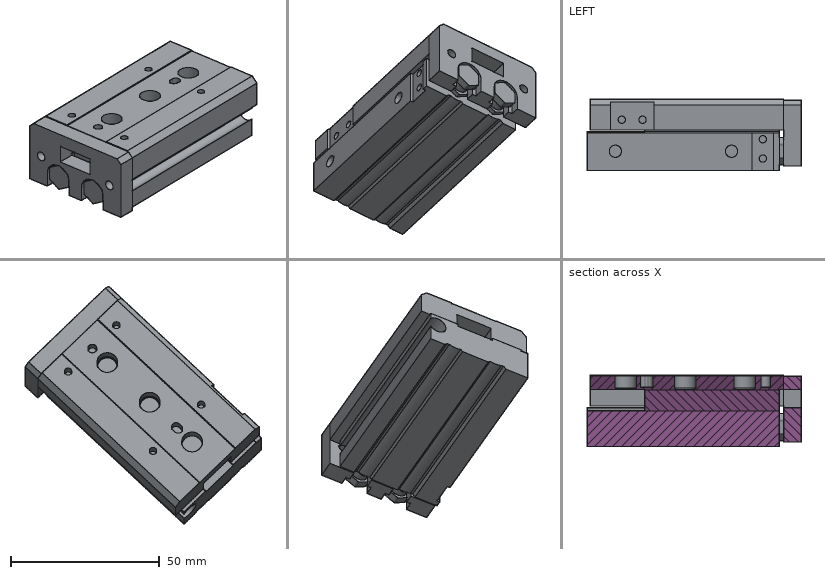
import cadquery as cq
import math

WIDTH = 40.0
LENGTH = 72.0
HEIGHT = 24.0
LEFT = -WIDTH / 2
FRONT = -LENGTH / 2
BACK = LENGTH / 2

PLATE_THICKNESS = 6.0
PLATE_BOTTOM = 1.45
PLATE_TOP = 23.6
PLATE_HOLE_DIAMETER = 3.25
PLATE_HOLE_X = 15.0
PLATE_HOLE_Z = 12.0
PLATE_BACK = FRONT + PLATE_THICKNESS

BASE_WIDTH = 37.0
BASE_GAP = 1.45
BASE_TOP = 13.0
BASE_FRONT = PLATE_BACK + BASE_GAP
BASE_RIGHT = LEFT + BASE_WIDTH
EDGE_STEP_WIDTH = 2.45
EDGE_STEP_DEPTH = 0.4
RAIL_SEAT_DEPTH = 1.0
RAIL_SEAT_Z = BASE_TOP - RAIL_SEAT_DEPTH
RELIEF_WIDTH = 6.8
RELIEF_DEPTH = 0.9
RELIEF_X = 8.3
BARREL_RADIUS = 6.05
SIDE_CHANNEL_DIAMETER = 6.5
SIDE_CHANNEL_X = 14.5
SIDE_CHANNEL_Z = 8.4
SIDE_HOLE_DIAMETER = 4.1
SIDE_HOLE_DEPTH = 8.0
SIDE_HOLE_YS = (-12.5, 26.5)

PAD_DEPTH = 1.0
PAD_HOLE_DIAMETER = 2.45
PAD_HOLE_DEPTH = 4.0
BASE_PAD_FRONT = -26.65
BASE_PAD_LENGTH = 7.2
BASE_PAD_HOLE_Y = -23.05
BASE_PAD_HOLE_ZS = (4.0, 10.5)
TABLE_PAD_FRONT = 13.5
TABLE_PAD_LENGTH = 14.55
TABLE_PAD_TOP = 23.05
TABLE_PAD_HOLE_YS = (17.35, 24.3)
TABLE_PAD_HOLE_Z = 17.1

TABLE_BACK_GAP = 1.0
TABLE_BOTTOM = 13.5
TABLE_CHAMFER = 2.0
TABLE_BACK = BACK - TABLE_BACK_GAP
TABLE_LENGTH = TABLE_BACK - PLATE_BACK
TOP_GROOVE_WIDTH = 17.3
TOP_GROOVE_DEPTH = 0.2
ACCESS_HOLE_DIAMETER = 7.0
ACCESS_HOLE_DEPTH = 4.3
ACCESS_BORE_DIAMETER = 6.5
ACCESS_HOLE_PITCH = 20.0
ACCESS_HOLE_MIDDLE_Y = 3.0
MOUNT_HOLE_DIAMETER = 2.45
MOUNT_HOLE_DEPTH = 4.0
MOUNT_HOLE_X = 11.5
MOUNT_HOLE_YS = (-24.05, 16.0)
DOWEL_DIAMETER = 3.0
DOWEL_SLOT_LENGTH = 4.0
DOWEL_DEPTH = 4.0

RAIL_WIDTH = 13.1
RAIL_TOP = 19.1
RAIL_BACK = 16.6

JOINT_X = 7.5
JOINT_Z = 6.5
HEX_ACROSS_FLATS = 8.1
HEX_CORNER_RADIUS = 0.5
HEAD_RECESS = 0.4
HEAD_LENGTH = 2.5
HEAD_SLOT_WIDTH = 9.6
NECK_SLOT_WIDTH = 6.7
NECK_DIAMETER = 6.5
HEAD_FRONT = FRONT + HEAD_RECESS
HEAD_BACK = HEAD_FRONT + HEAD_LENGTH


def block(x_min, x_max, y_min, y_max, z_min, z_max):
    """Axis-aligned box between the given limits."""
    size = (x_max - x_min, y_max - y_min, z_max - z_min)
    return cq.Workplane("XY").box(*size, centered=False).translate((x_min, y_min, z_min))


def along_y(y):
    """XZ workplane at the given Y; its normal is -Y, so negative extrusions run toward +Y."""
    return cq.Workplane(cq.Plane(origin=(0, y, 0), xDir=(1, 0, 0), normal=(0, -1, 0)))


def cylinder_y(x, z, diameter, y_min, y_max):
    """Round bar or hole running along Y."""
    return along_y(y_min).center(x, z).circle(diameter / 2).extrude(y_min - y_max)


def left_holes(diameter, depth, start_x, points):
    """Round holes bored toward +X at the given (Y, Z) points."""
    return cq.Workplane("YZ", origin=(start_x, 0, 0)).pushPoints(points).circle(diameter / 2).extrude(depth)


def chamfered_block(y_min, y_max, z_min, z_max):
    """Full-width block whose top corners follow the table's 45-degree shoulder planes."""
    shoulder_z = HEIGHT - TABLE_CHAMFER
    top_half_width = WIDTH / 2 - (z_max - shoulder_z)
    outline = [
        (LEFT, z_min),
        (-LEFT, z_min),
        (-LEFT, shoulder_z),
        (top_half_width, z_max),
        (-top_half_width, z_max),
        (LEFT, shoulder_z),
    ]
    return along_y(y_min).polyline(outline).close().extrude(y_min - y_max)


def u_slot(x, width, y_min, y_max):
    """Slot open at the bottom of the end plate, rounded about the joint axis."""
    round_top = cylinder_y(x, JOINT_Z, width, y_min, y_max)
    return round_top.union(block(x - width / 2, x + width / 2, y_min, y_max, 0, JOINT_Z))


def end_plate():
    plate = chamfered_block(FRONT, PLATE_BACK, PLATE_BOTTOM, PLATE_TOP)
    window = block(-RAIL_WIDTH / 2, RAIL_WIDTH / 2, FRONT, PLATE_BACK, BASE_TOP, RAIL_TOP)
    plate = plate.cut(window)
    for side in (-1, 1):
        plate = plate.cut(u_slot(side * JOINT_X, HEAD_SLOT_WIDTH, FRONT, HEAD_BACK))
        plate = plate.cut(u_slot(side * JOINT_X, NECK_SLOT_WIDTH, HEAD_BACK, PLATE_BACK))
        hole = cylinder_y(side * PLATE_HOLE_X, PLATE_HOLE_Z, PLATE_HOLE_DIAMETER, FRONT, PLATE_BACK)
        plate = plate.cut(hole)
    return plate


def underside_relief(side):
    """Trapezoidal groove along the base underside, interrupted by the round cylinder barrel."""
    half_bottom = RELIEF_WIDTH / 2
    half_top = half_bottom - RELIEF_DEPTH
    outline = [
        (side * RELIEF_X - half_bottom, 0),
        (side * RELIEF_X + half_bottom, 0),
        (side * RELIEF_X + half_top, RELIEF_DEPTH),
        (side * RELIEF_X - half_top, RELIEF_DEPTH),
    ]
    groove = along_y(BASE_FRONT).polyline(outline).close().extrude(BASE_FRONT - BACK)
    return groove.cut(cylinder_y(side * JOINT_X, JOINT_Z, 2 * BARREL_RADIUS, BASE_FRONT, BACK))


def base():
    body = block(LEFT, BASE_RIGHT, BASE_FRONT, BACK, 0, BASE_TOP)
    step_top = BASE_TOP - EDGE_STEP_DEPTH
    body = body.cut(block(LEFT, LEFT + EDGE_STEP_WIDTH, BASE_FRONT, BACK, step_top, BASE_TOP))
    body = body.cut(block(-RAIL_WIDTH / 2, RAIL_WIDTH / 2, BASE_FRONT, BACK, RAIL_SEAT_Z, BASE_TOP))
    for side in (-1, 1):
        body = body.cut(underside_relief(side))
    body = body.cut(cylinder_y(SIDE_CHANNEL_X, SIDE_CHANNEL_Z, SIDE_CHANNEL_DIAMETER, BASE_FRONT, BACK))
    side_points = [(y, JOINT_Z) for y in SIDE_HOLE_YS]
    body = body.cut(left_holes(SIDE_HOLE_DIAMETER, SIDE_HOLE_DEPTH, LEFT, side_points))
    pad_back = BASE_PAD_FRONT + BASE_PAD_LENGTH
    body = body.cut(block(LEFT, LEFT + PAD_DEPTH, BASE_PAD_FRONT, pad_back, 0, BASE_TOP))
    pad_points = [(BASE_PAD_HOLE_Y, z) for z in BASE_PAD_HOLE_ZS]
    return body.cut(left_holes(PAD_HOLE_DIAMETER, PAD_HOLE_DEPTH, LEFT + PAD_DEPTH, pad_points))


def top_holes(points, diameter, depth):
    """Round holes sunk into the table from its top."""
    start = cq.Workplane("XY", origin=(0, 0, HEIGHT))
    return start.pushPoints(points).circle(diameter / 2).extrude(-depth)


def table_top_groove():
    """Shallow central groove with 45-degree walls."""
    half_top = TOP_GROOVE_WIDTH / 2
    half_floor = half_top - TOP_GROOVE_DEPTH
    floor_z = HEIGHT - TOP_GROOVE_DEPTH
    outline = [(-half_top, HEIGHT), (half_top, HEIGHT), (half_floor, floor_z), (-half_floor, floor_z)]
    return along_y(PLATE_BACK).polyline(outline).close().extrude(-TABLE_LENGTH)


def table():
    body = chamfered_block(PLATE_BACK, TABLE_BACK, TABLE_BOTTOM, HEIGHT)
    body = body.cut(block(-RAIL_WIDTH / 2, RAIL_WIDTH / 2, PLATE_BACK, TABLE_BACK, TABLE_BOTTOM, RAIL_TOP))
    body = body.cut(table_top_groove())
    access_points = [(0, ACCESS_HOLE_MIDDLE_Y + i * ACCESS_HOLE_PITCH) for i in (-1, 0, 1)]
    body = body.cut(top_holes(access_points, ACCESS_HOLE_DIAMETER, ACCESS_HOLE_DEPTH))
    body = body.cut(top_holes(access_points[:2], ACCESS_BORE_DIAMETER, HEIGHT - RAIL_TOP))
    mount_points = [(side * MOUNT_HOLE_X, y) for side in (-1, 1) for y in MOUNT_HOLE_YS]
    body = body.cut(top_holes(mount_points, MOUNT_HOLE_DIAMETER, MOUNT_HOLE_DEPTH))
    front_y, back_y = MOUNT_HOLE_YS
    body = body.cut(top_holes([(0, front_y)], DOWEL_DIAMETER, DOWEL_DEPTH))
    dowel_slot = cq.Workplane("XY", origin=(0, back_y, HEIGHT)).slot2D(DOWEL_SLOT_LENGTH, DOWEL_DIAMETER, 90)
    body = body.cut(dowel_slot.extrude(-DOWEL_DEPTH))
    pad_back = TABLE_PAD_FRONT + TABLE_PAD_LENGTH
    body = body.cut(block(LEFT, LEFT + PAD_DEPTH, TABLE_PAD_FRONT, pad_back, TABLE_BOTTOM, TABLE_PAD_TOP))
    pad_points = [(y, TABLE_PAD_HOLE_Z) for y in TABLE_PAD_HOLE_YS]
    return body.cut(left_holes(PAD_HOLE_DIAMETER, PAD_HOLE_DEPTH, LEFT + PAD_DEPTH, pad_points))


def guide_rail():
    """Block seated in the base channel and running inside the table channel."""
    return block(-RAIL_WIDTH / 2, RAIL_WIDTH / 2, BASE_FRONT, RAIL_BACK, RAIL_SEAT_Z, RAIL_TOP)


def hexagon(x, y_min, y_max):
    """Hexagonal prism along Y with a corner pointing up and rounded corners."""
    across_corners = HEX_ACROSS_FLATS / math.cos(math.pi / 6)
    profile = along_y(y_min).center(x, JOINT_Z).transformed(rotate=(0, 0, 90))
    return profile.polygon(6, across_corners).extrude(y_min - y_max).edges("|Y").fillet(HEX_CORNER_RADIUS)


def rod_joint(x):
    """Hexagonal head and flange on either side of the plate slot, joined by a round neck."""
    head = hexagon(x, HEAD_FRONT, HEAD_BACK)
    neck = cylinder_y(x, JOINT_Z, NECK_DIAMETER, HEAD_BACK, PLATE_BACK)
    flange = hexagon(x, PLATE_BACK, BASE_FRONT)
    return head.union(neck).union(flange)


rod_joints = [rod_joint(side * JOINT_X).val() for side in (-1, 1)]
result = cq.Compound.makeCompound(
    [base().val(), guide_rail().val(), table().val(), end_plate().val(), *rod_joints]
)